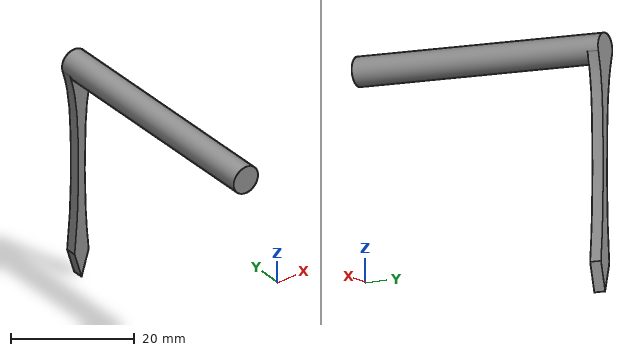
import cadquery as cq

rod_diameter = 5.0
rod_length = 45.0
rod_radius = rod_diameter / 2

blade_thickness = 2.0
blade_drop = 40.0

root_depth = 0.76
root_half_width = (rod_radius**2 - root_depth**2) ** 0.5
waist_profile = [
    (root_half_width, root_depth),
    (1.30, 5.6),
    (0.77, 12.6),
    (0.70, 23.0),
    (0.96, 29.4),
    (1.45, 35.2),
]


def make_rod():
    """Rod with its axis on Y, centred on the origin."""
    return cq.Workplane("XZ").circle(rod_radius).extrude(rod_length / 2, both=True)


def make_blade():
    """Blade cut from flat plate, starting inside the rod and ending in a point."""
    right_edge = [(half_width, -depth) for half_width, depth in waist_profile]
    left_edge = [(-half_width, -depth) for half_width, depth in reversed(waist_profile)]
    return (
        cq.Workplane("XZ", origin=(0, rod_length / 2, 0))
        .lineTo(*right_edge[0])
        .spline(right_edge[1:], includeCurrent=True)
        .lineTo(0, -blade_drop)
        .lineTo(*left_edge[0])
        .spline(left_edge[1:], includeCurrent=True)
        .close()
        .extrude(blade_thickness)
    )


result = make_rod().union(make_blade())